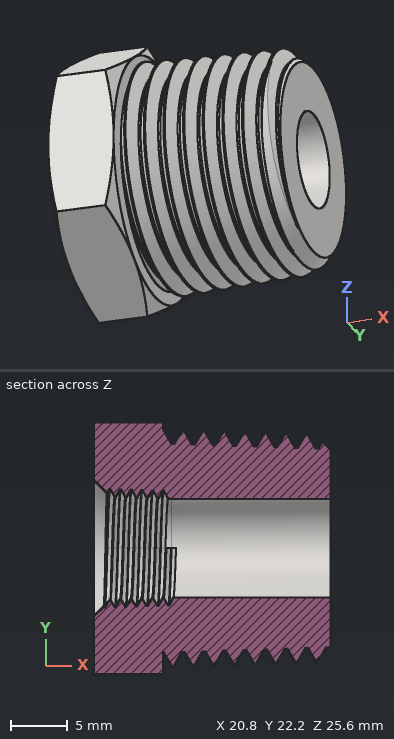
import cadquery as cq
import math

height_across_corners = 25.65
across_flats = height_across_corners * math.cos(math.radians(30))
total_length = 20.84
head_length = 6.1
head_bevel_length = 0.77

taper = 1 / 32
flank_slope = math.tan(math.radians(30))
thread_overrun = 0.013
lead_turns = 11.69

outer_pitch = 21.2 / lead_turns
outer_crest_radius = 10.7
outer_depth = 1.28
outer_crest_flat = 0.13
outer_root_radius = outer_crest_radius - outer_depth
outer_first_crest = 3.77
end_face_radius = 8.7
end_chamfer = 1.28

inner_pitch = 11.0 / lead_turns
inner_minor_radius = 4.55
inner_depth = 0.7
inner_root_flat = 0.05
inner_first_groove = -0.72
inner_turns = 8
inner_thread_end = inner_first_groove + inner_turns * inner_pitch
mouth_radius = 5.98
mouth_slope = 1.0


def revolve_about_x(points):
    """Solid of revolution from an outline of (x, radius) points."""
    outline = cq.Workplane("XY").polyline(points).close()
    return outline.revolve(360, (0, 0, 0), (1, 0, 0))


def thread_form(pitch, base_radius, tip_radius, tip_flat, start, end):
    """Right-handed tapered thread ridge; radii at x = 0, start and end along X."""
    depth = tip_radius - base_radius
    base_half_width = tip_flat / 2 + (depth + thread_overrun) * flank_slope
    low = base_radius - thread_overrun
    section = [
        (-base_half_width, low),
        (-tip_flat / 2, tip_radius),
        (tip_flat / 2, tip_radius),
        (base_half_width, low),
    ]
    taper_angle = math.degrees(math.atan(taper))
    slant = math.cos(math.radians(taper_angle))
    edges = []
    caps = [[], []]
    for offset, radius in section:
        position = start + offset
        helix = cq.Wire.makeHelix(
            pitch / slant,
            (end - start) / slant,
            radius - taper * position,
            center=cq.Vector(0, 0, position),
            angle=-taper_angle,
        )
        edge = helix.Edges()[0]
        edges.append(edge)
        caps[0].append(edge.startPoint())
        caps[1].append(edge.endPoint())
    faces = [cq.Face.makeRuledSurface(edges[i - 1], edges[i]) for i in range(len(edges))]
    for corners in caps:
        faces.append(cq.Face.makeFromWires(cq.Wire.makePolygon(corners, close=True)))
    ridge = cq.Solid.makeSolid(cq.Shell.makeShell(faces))
    return cq.Workplane(ridge.fix()).rotate((0, 0, 0), (0, 1, 0), 90)


def make_head():
    hexagon = cq.Workplane("YZ").polygon(6, height_across_corners)
    prism = hexagon.extrude(head_length).rotate((0, 0, 0), (1, 0, 0), 90)
    flat_radius = across_flats / 2
    corner_radius = height_across_corners / 2
    bevels = revolve_about_x([
        (0, 0),
        (0, flat_radius),
        (head_bevel_length, corner_radius),
        (head_length - head_bevel_length, corner_radius),
        (head_length, flat_radius),
        (head_length, 0),
    ])
    return prism.intersect(bevels)


def make_threaded_shank():
    core_start = head_length / 2
    core_end = total_length + outer_pitch
    core = revolve_about_x([
        (core_start, 0),
        (core_start, outer_root_radius - taper * core_start),
        (core_end, outer_root_radius - taper * core_end),
        (core_end, 0),
    ])
    ridge = thread_form(
        outer_pitch, outer_root_radius, outer_crest_radius, outer_crest_flat,
        outer_first_crest, core_end,
    )
    envelope_radius = end_face_radius + end_chamfer
    envelope = revolve_about_x([
        (core_start, 0),
        (core_start, outer_crest_radius),
        (total_length - end_chamfer, outer_crest_radius),
        (total_length - end_chamfer, envelope_radius),
        (total_length, end_face_radius),
        (total_length, 0),
    ])
    return core.union(ridge).intersect(envelope)


def make_bore():
    mouth_depth = (mouth_radius - inner_minor_radius) / (mouth_slope - taper)
    end_radius = inner_minor_radius - taper * inner_thread_end
    return revolve_about_x([
        (0, 0),
        (0, mouth_radius),
        (mouth_depth, inner_minor_radius - taper * mouth_depth),
        (inner_thread_end, end_radius),
        (total_length, end_radius),
        (total_length, 0),
    ])


def cut_inner_thread(body):
    """Cut the inner groove one turn at a time; each turn starts where the last one ends."""
    for turn in range(inner_turns):
        start = inner_first_groove + turn * inner_pitch
        groove = thread_form(
            inner_pitch, inner_minor_radius, inner_minor_radius + inner_depth, inner_root_flat,
            start, start + inner_pitch,
        )
        body = body.cut(groove)
    return body


blank = make_head().union(make_threaded_shank())
result = cut_inner_thread(blank.cut(make_bore()))